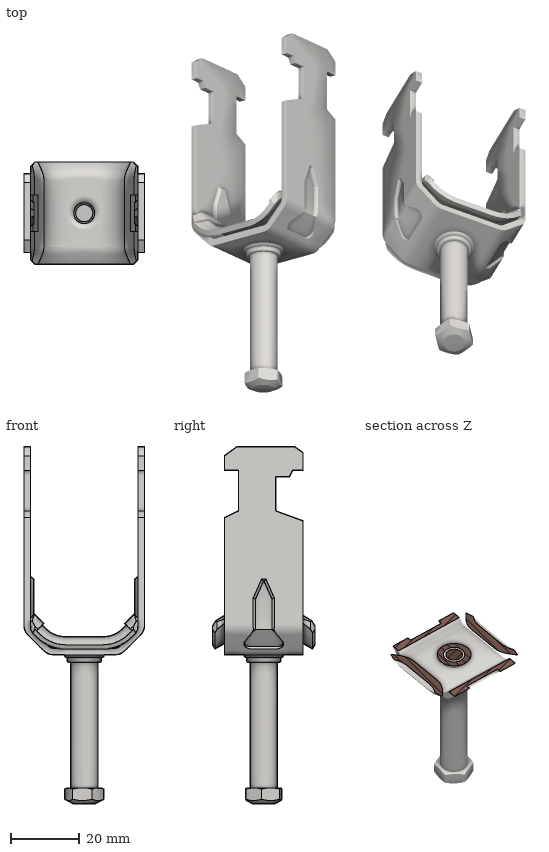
import cadquery as cq
import math

wing_angle = 45
slant = math.sin(math.radians(wing_angle))

overall_height = 104.5

strap_width = 35.3
strap_depth = 23.1
strap_top = 60.9
strap_thickness = 2.0
strap_corner = 7.0
strap_bend_radius = 2 * strap_thickness
strap_half = strap_width / 2
strap_inner_half = strap_half - strap_thickness
arm_edge = strap_depth / 2

neck_left = 3.6
neck_right = 7.4
top_left = 9.0
top_right = 7.8
left_bevel_drop = 1.8
right_bevel_drop = 2.7
hook_drop = 7.0
step_drop = 8.9
step_outer = 8.5
step_inner = 7.5
neck_drop = 18.8
left_shoulder_drop = 21.7
right_shoulder_drop = 20.8

emboss_depth = 0.91
emboss_half = 3.1
emboss_tip_half = 0.6
emboss_flank_angle = 40
emboss_tip = 22.2
emboss_knee = 16.5
emboss_bottom = 5.7
emboss_bump_bottom = 9.4
emboss_bump_margin = 0.7

foot_half = 5.5
foot_base_half = 4.2
foot_top = 6.8
foot_knee = 3.9
foot_bottom = 1.8
foot_corner_radius = 2.1

collar_diameter = 10.0
collar_height = 2.2
collar_fillet = 0.8
collar_edge_fillet = 0.5

saddle_floor = 5.3
saddle_thickness = 1.5
saddle_length = 30.0
saddle_flat_half = 5.5
saddle_radius = 8.0
pad_start = 1.5
pad_height = 0.6
wing_length = 3.9
wing_rim_taper = 1.1
rim_angle = 30
rim_slope = math.tan(math.radians(rim_angle))
rim_bend_y = 10.9
rim_bend_radius = 3.3
rim_corner_x = 1.4
rim_corner_y = 1.3
notch_half = 5.3
notch_depth = 1.5

throat_diameter = 6.1
funnel_diameter = 10.0
throat_lip = 1.9

shank_diameter = 8.0
pilot_diameter = 5.0
pilot_top = 4.1
head_top = -39.0
head_bottom = strap_top - overall_height
head_flats = 10.0
head_angle = -6.5
head_crown_height = 1.4
head_crown_diameter = 6.5
head_top_chamfer = 0.3
head_top_chamfer_width = 0.6


def strap_section(inset):
    """Solid block bounded by the U outline, moved inwards by inset."""
    half = strap_half - inset
    corner = strap_corner - inset * (2 - math.sqrt(2))
    block = (
        cq.Workplane("XZ")
        .moveTo(-half, strap_top)
        .lineTo(-half, inset + corner)
        .lineTo(-half + corner, inset)
        .lineTo(half - corner, inset)
        .lineTo(half, inset + corner)
        .lineTo(half, strap_top)
        .close()
        .extrude(arm_edge, both=True)
    )
    below_arms = cq.selectors.BoxSelector(
        (-strap_width, -strap_depth, -strap_top), (strap_width, strap_depth, strap_top / 2))
    return block.edges("|Y").edges(below_arms).fillet(strap_bend_radius - inset)


def arm_outline():
    """Side outline of the arms, extruded across the whole strap."""
    points = [
        (arm_edge, 0),
        (arm_edge, strap_top - left_shoulder_drop),
        (neck_left, strap_top - neck_drop),
        (neck_left, strap_top - step_drop),
        (step_inner, strap_top - step_drop),
        (step_outer, strap_top - hook_drop),
        (arm_edge, strap_top - hook_drop),
        (arm_edge, strap_top - left_bevel_drop),
        (top_left, strap_top),
        (-top_right, strap_top),
        (-arm_edge, strap_top - right_bevel_drop),
        (-arm_edge, strap_top - hook_drop),
        (-neck_right, strap_top - hook_drop),
        (-neck_right, strap_top - neck_drop),
        (-arm_edge, strap_top - right_shoulder_drop),
        (-arm_edge, 0),
    ]
    return cq.Workplane("YZ").polyline(points).close().extrude(strap_half, both=True)


def emboss(face_x, margin, bottom):
    """Pointed wedge with sloping flanks, reaching inwards (-X) from face_x."""
    outline = [
        (emboss_half + margin, bottom),
        (emboss_half + margin, emboss_knee),
        (emboss_tip_half + margin, emboss_tip + margin),
        (-emboss_tip_half - margin, emboss_tip + margin),
        (-emboss_half - margin, emboss_knee),
        (-emboss_half - margin, bottom),
    ]
    return (
        cq.Workplane("YZ", origin=(face_x, 0, 0))
        .polyline(outline)
        .close()
        .extrude(-emboss_depth, taper=emboss_flank_angle)
    )


def emboss_foot():
    """Flared recess in the slanted face, sunk square to that face."""
    slant_point = strap_half - strap_corner
    plane = cq.Plane(
        origin=(slant_point, 0, 0), xDir=(0, 1, 0), normal=(slant, 0, -slant))

    def along(z):
        """Distance up the slanted face at height z."""
        return z / slant

    return (
        cq.Workplane(plane)
        .moveTo(-emboss_half, along(foot_top))
        .lineTo(emboss_half, along(foot_top))
        .lineTo(foot_half, along(foot_knee))
        .radiusArc((foot_base_half, along(foot_bottom)), foot_corner_radius)
        .lineTo(-foot_base_half, along(foot_bottom))
        .radiusArc((-foot_half, along(foot_knee)), foot_corner_radius)
        .close()
        .extrude(-emboss_depth)
    )


def collar():
    """Thread collar under the strap, flared where it leaves the sheet."""
    radius = collar_diameter / 2
    return (
        cq.Workplane("XZ")
        .moveTo(0, 0)
        .lineTo(radius + collar_fillet, 0)
        .radiusArc((radius, -collar_fillet), collar_fillet)
        .lineTo(radius, collar_edge_fillet - collar_height)
        .radiusArc((radius - collar_edge_fillet, -collar_height), collar_edge_fillet)
        .lineTo(0, -collar_height)
        .close()
        .revolve(360, (0, 0), (0, 1))
    )


def make_strap():
    body = strap_section(0).cut(strap_section(strap_thickness)).intersect(arm_outline())
    recess = emboss(strap_half, 0, emboss_bottom).union(emboss_foot())
    bump = emboss(strap_inner_half, emboss_bump_margin, emboss_bump_bottom)
    for side_angle in (0, 180):
        body = body.union(bump.rotate((0, 0, 0), (0, 0, 1), side_angle))
        body = body.cut(recess.rotate((0, 0, 0), (0, 0, 1), side_angle))
    body = body.union(collar())
    hole_length = collar_height + strap_thickness
    bolt_hole = (
        cq.Workplane("XY", origin=(0, 0, -collar_height))
        .circle(shank_diameter / 2)
        .extrude(hole_length)
    )
    return body.cut(bolt_hole)


def trough_wire(y, depth, step, extra):
    """Closed XZ section of everything below a trough-shaped surface.

    depth lowers the surface along its own normal, step raises the outer wings
    and extra lengthens them.
    """
    radius = saddle_radius + depth
    arc_center_z = saddle_floor + saddle_radius

    def on_arc(angle):
        """Point on the curved flank, angle degrees up from the floor."""
        radians = math.radians(angle)
        return saddle_flat_half + radius * math.sin(radians), arc_center_z - radius * math.cos(radians)

    def moved(point, outwards, upwards):
        """Point shifted along the 45 degree diagonal."""
        return point[0] + outwards * slant, point[1] + upwards * slant

    floor_end = on_arc(0)
    arc_middle = on_arc(wing_angle / 2)
    arc_end = on_arc(wing_angle)
    pad_foot = moved(arc_end, pad_start, pad_start)
    pad_edge = moved(pad_foot, -step, step)
    wing_end = moved(pad_edge, wing_length + extra, wing_length + extra)
    reach = saddle_length - depth + step
    far_corner = moved(wing_end, reach, -reach)

    def at(point, side):
        """Space point on the +X (1) or -X (-1) side."""
        return cq.Vector(side * point[0], y, point[1])

    edges = [cq.Edge.makeLine(at(floor_end, -1), at(floor_end, 1))]
    for side in (1, -1):
        points = [arc_end, pad_foot, pad_edge, wing_end, far_corner]
        if step == 0:
            points = [arc_end, wing_end, far_corner]
        edges.append(cq.Edge.makeThreePointArc(
            at(floor_end, side), at(arc_middle, side), at(arc_end, side)))
        for start, stop in zip(points, points[1:]):
            edges.append(cq.Edge.makeLine(at(start, side), at(stop, side)))
    edges.append(cq.Edge.makeLine(at(far_corner, 1), at(far_corner, -1)))
    return cq.Wire.assembleEdges(edges)


def trough_loft(start, end):
    """Straight loft between two trough sections."""
    return cq.Workplane(cq.Solid.makeLoft([start, end], True))


def trough_block(depth, end_y, step, extra, bend_radius):
    """Block below a trough surface whose rims at +Y and -Y bend down."""
    bend_y = rim_bend_y - depth * math.tan(math.radians(rim_angle / 2))
    end_depth = depth + (end_y - bend_y) * rim_slope
    back_bend = trough_wire(bend_y, depth, step, extra)
    front_bend = trough_wire(-bend_y, depth, step, extra)
    rim_end = trough_wire(end_y, end_depth, step, extra - wing_rim_taper)
    middle = trough_loft(front_bend, back_bend)
    rim = trough_loft(back_bend, rim_end)
    block = middle.union(rim).union(rim.mirror("XZ"))
    select_margin = saddle_thickness / 10
    for side in (1, -1):
        bend_line = cq.selectors.BoxSelector(
            (-strap_half, side * bend_y - select_margin, 0),
            (strap_half, side * bend_y + select_margin, strap_top))
        block = block.edges(bend_line).fillet(bend_radius)
    return block


def rim_trim():
    """Cutter that leaves the edge of the +Y rim square to the bent sheet."""
    end_y = saddle_length / 2
    end_depth = (end_y - rim_bend_y) * rim_slope
    cut_drop = saddle_thickness / rim_slope
    inner = trough_wire(end_y - saddle_thickness, end_depth + cut_drop, 0, saddle_thickness)
    outer = trough_wire(end_y + saddle_thickness, end_depth - cut_drop, 0, saddle_thickness)
    return trough_loft(inner, outer)


def saddle_envelope():
    """Upright block with bevelled corners that limits the saddle in plan."""
    return (
        cq.Workplane("XY")
        .rect(2 * strap_inner_half, saddle_length)
        .extrude(strap_top)
        .edges("|Z")
        .chamfer(rim_corner_y, rim_corner_x)
    )


def wing_notch():
    """Cutter for the notch in the +X wing, clear of the arm's emboss."""
    arc_end_x = saddle_flat_half + saddle_radius * slant
    arc_end_z = saddle_floor + saddle_radius * (1 - slant)
    floor_distance = pad_start + wing_length - notch_depth
    plane = cq.Plane(
        origin=(arc_end_x + floor_distance * slant, 0, arc_end_z + floor_distance * slant),
        xDir=(0, 1, 0), normal=(slant, 0, slant))
    cutter_size = 2 * wing_length
    return cq.Workplane(plane).rect(2 * notch_half, cutter_size).extrude(cutter_size)


def throat_collar():
    """Flanged lip around the bolt hole, with a rounded funnel leading into it."""
    throat = throat_diameter / 2
    rim = funnel_diameter / 2
    lip_bottom = saddle_floor - throat_lip
    lip = (
        cq.Workplane("XY", origin=(0, 0, lip_bottom))
        .circle(rim)
        .extrude(throat_lip)
    )
    funnel = (
        cq.Workplane("XZ")
        .moveTo(0, saddle_floor)
        .lineTo(rim, saddle_floor)
        .radiusArc((throat, saddle_floor - (rim - throat)), -(rim - throat))
        .lineTo(throat, lip_bottom)
        .lineTo(0, lip_bottom)
        .close()
        .revolve(360, (0, 0), (0, 1))
    )
    return lip, funnel


def make_saddle():
    half_length = saddle_length / 2
    upper = trough_block(0, half_length, pad_height, 0, rim_bend_radius)
    lower = trough_block(
        saddle_thickness, half_length + saddle_thickness, 0, saddle_thickness,
        rim_bend_radius - saddle_thickness)
    body = upper.cut(lower)
    trim = rim_trim()
    body = body.cut(trim).cut(trim.mirror("XZ"))
    body = body.intersect(saddle_envelope())
    notch = wing_notch()
    body = body.cut(notch).cut(notch.mirror("YZ"))
    lip, funnel = throat_collar()
    return body.union(lip).cut(funnel)


def make_bolt():
    shoulder = saddle_floor - throat_lip
    crown_radius = head_crown_diameter / 2
    corner_radius = head_flats / math.sqrt(3)
    turned_blank = (
        cq.Workplane("XZ")
        .moveTo(0, head_top)
        .lineTo(corner_radius - head_top_chamfer_width, head_top)
        .lineTo(corner_radius, head_top - head_top_chamfer)
        .lineTo(corner_radius, head_bottom + head_crown_height)
        .lineTo(crown_radius, head_bottom)
        .lineTo(0, head_bottom)
        .close()
        .revolve(360, (0, 0), (0, 1))
    )
    head = (
        cq.Workplane("XY", origin=(0, 0, head_bottom))
        .polygon(6, 2 * corner_radius)
        .extrude(head_top - head_bottom)
        .rotate((0, 0, 0), (0, 0, 1), head_angle)
        .intersect(turned_blank)
    )
    shank = (
        cq.Workplane("XY", origin=(0, 0, head_top))
        .circle(shank_diameter / 2)
        .extrude(shoulder - head_top)
    )
    pilot = (
        cq.Workplane("XY", origin=(0, 0, shoulder))
        .circle(pilot_diameter / 2)
        .extrude(pilot_top - shoulder)
    )
    return head.union(shank).union(pilot)


strap = make_strap()
saddle = make_saddle()
bolt = make_bolt()
result = cq.Compound.makeCompound([strap.solids().val(), saddle.solids().val(), bolt.solids().val()])